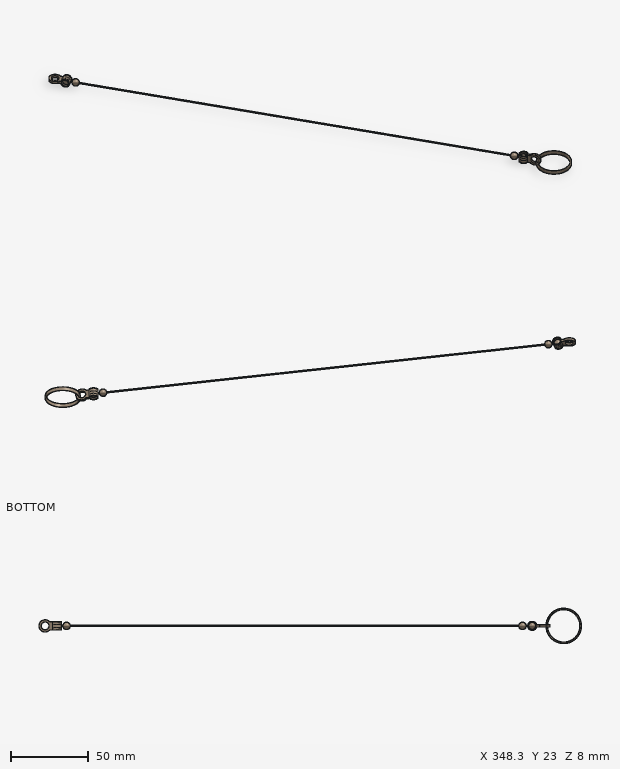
import cadquery as cq

overall_length = 348.3
ring_diameter = 23.0
ring_band_width = 1.22
ring_band_height = 2.8

cable_diameter = 0.9
cable_span = 328.0

bead_diameter = 5.0
outer_bead_position = 17.8

eye_outer_diameter = 8.0
eye_hole_diameter = 5.0
eye_thickness = 1.7

barrel_diameter = 6.0
barrel_bore = 4.5
barrel_length = 5.5
barrel_position = 11.5


def centered_cylinder(plane, center_x, diameter, length):
    """Cylinder square to the plane and centred on it."""
    return cq.Workplane(plane).center(center_x, 0).circle(diameter / 2).extrude(length / 2, both=True)


def make_bead(center_x):
    return cq.Workplane("XY").sphere(bead_diameter / 2).translate((center_x, 0, 0))


def make_connector():
    """Eye, tongue and bored cross barrel, with the eye's outer end at the origin."""
    eye_center = eye_outer_diameter / 2
    tongue_length = barrel_position - eye_center
    eye = centered_cylinder("XY", eye_center, eye_outer_diameter, eye_thickness)
    tongue = cq.Workplane("XY").box(tongue_length, barrel_length, eye_thickness)
    tongue = tongue.translate((eye_center + tongue_length / 2, 0, 0))
    barrel = centered_cylinder("XZ", barrel_position, barrel_diameter, barrel_length)
    eye_hole = centered_cylinder("XY", eye_center, eye_hole_diameter, eye_thickness)
    bore = centered_cylinder("XZ", barrel_position, barrel_bore, barrel_length)
    return eye.union(tongue).union(barrel).cut(eye_hole).cut(bore)


def make_terminal():
    """Connector with one bead held in its barrel and one just behind it."""
    return make_connector().union(make_bead(barrel_position)).union(make_bead(outer_bead_position))


def make_cable():
    """Straight cable running between the beads held in the two barrels."""
    length = cable_span - 2 * barrel_position
    return cq.Workplane("YZ", origin=(barrel_position, 0, 0)).circle(cable_diameter / 2).extrude(length)


def make_key_ring():
    """Ring with a tall oval section."""
    centerline_radius = (ring_diameter - ring_band_width) / 2
    center_x = overall_length - ring_diameter / 2
    section = cq.Workplane("XZ").center(centerline_radius, 0).ellipse(ring_band_width / 2, ring_band_height / 2)
    ring = section.revolve(360, (-centerline_radius, 0, 0), (-centerline_radius, 1, 0))
    return ring.translate((center_x, 0, 0))


flat_terminal = make_terminal()
upright_terminal = (
    make_terminal()
    .rotate((0, 0, 0), (1, 0, 0), 90)
    .rotate((0, 0, 0), (0, 0, 1), 180)
    .translate((cable_span, 0, 0))
)

result = flat_terminal.union(make_cable()).union(upright_terminal).union(make_key_ring())